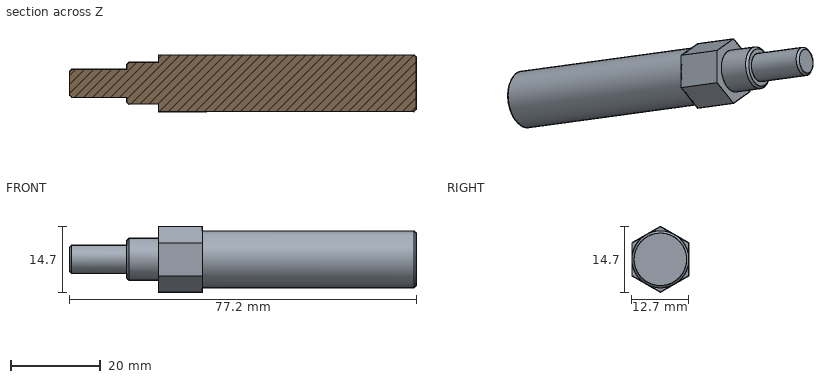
import cadquery as cq
import math

total_length = 77.22
tip_length = 12.7
collar_length = 7.11
hex_length = 9.78
body_length = total_length - tip_length - collar_length - hex_length

tip_diameter = 6.35
collar_diameter = 9.4
body_diameter = 12.7
hex_across_flats = body_diameter
hex_sides = 6
hex_across_corners = hex_across_flats / math.cos(math.pi / hex_sides)
quarter_turn = 90

end_chamfer = 0.51

collar_start = tip_length
hex_start = collar_start + collar_length
body_start = hex_start + hex_length


def section_plane(x):
    """YZ plane at distance x from the tip end, facing +X."""
    return cq.Workplane("YZ", origin=(x, 0, 0))


def round_stretch(start, length, diameter, chamfered_end):
    """Cylinder along X with a chamfer on the chosen end."""
    cylinder = section_plane(start).circle(diameter / 2).extrude(length)
    return cylinder.faces(chamfered_end).chamfer(end_chamfer)


def hex_stretch():
    """Wrench hexagon with its flats facing +Y and -Y and corners on Z."""
    hexagon = section_plane(hex_start).polygon(hex_sides, hex_across_corners).extrude(hex_length)
    return hexagon.rotate((0, 0, 0), (1, 0, 0), quarter_turn)


tip = round_stretch(0, tip_length, tip_diameter, "<X")
collar = round_stretch(collar_start, collar_length, collar_diameter, "<X")
body = round_stretch(body_start, body_length, body_diameter, ">X")

result = tip.union(collar).union(hex_stretch()).union(body)